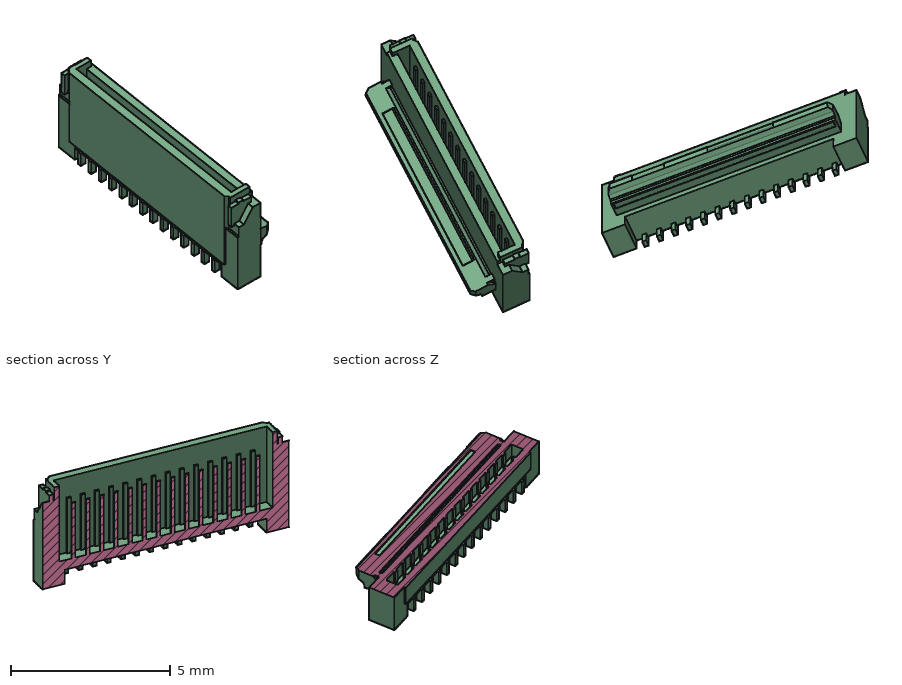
import cadquery as cq

WIDTH = 8.7
HEIGHT = 3.6
OVERLAP = 0.04

CORE_WIDTH = 7.88
CORE_FRONT = -0.9
LOWER_FRONT = -0.94
LOWER_TOP = 2.2
LOWER_BEVEL = LOWER_TOP + (CORE_FRONT - LOWER_FRONT)
REAR_WALL_TOP = 3.35
END_WALL_REAR = -0.105
FOOT_NOTCH_WIDTH = 7.12
FOOT_NOTCH_TOP = 0.505

PLATE_FRONT = -1.0
PLATE_WIDTH = 7.52
PLATE_ROOT_WIDTH = 7.74
PLATE_BOTTOM = 0.68

SLOT_WIDTH = PLATE_WIDTH
SLOT_REAR = -0.29
SLOT_FRONT = -0.705
SLOT_FLOOR = 0.87

EAR_TOP = 3.14
EAR_STEP = 2.62
EAR_SLOPE_REAR = -0.32
EAR_SLOPE_FRONT = -0.69

TAB_FRONT = -1.02
TAB_REAR = -0.18
TAB_BOTTOM = 2.54
TAB_TOP = 3.36
TAB_THICKNESS = 0.16
TAB_CENTER_X = 4.045
TAB_BUMP_REAR = -0.52
TAB_BUMP_FRONT = -0.71
TAB_BUMP_TOP = 3.41

CONTACT_COUNT = 14
CONTACT_SPAN = 6.5
CONTACT_PITCH = CONTACT_SPAN / (CONTACT_COUNT - 1)
CONTACT_WIDTH = 0.14
PIN_FRONT = TAB_FRONT
PIN_REAR = -0.81
PIN_BOTTOM = 0.05
PIN_TOP = 0.56
BLADE_TOP = 2.87
REAR_BLADE = 0.05
FRONT_BLADE = 0.07

LEVER_WIDTH = 7.67
LEVER_TIP = 0.88
LEVER_ROOT_TOP = 1.5
LEVER_EDGE = 0.835
LEVER_EDGE_TOP = 1.36
LEVER_SLOPE = (LEVER_ROOT_TOP - LEVER_EDGE_TOP) / LEVER_EDGE
LEVER_CORNER_START = 0.7
LEVER_UNDERSIDE = [
    (LEVER_TIP, 1.31),
    (0.835, 1.05),
    (0.67, 1.0),
    (0.53, 0.93),
    (0.5, 0.87),
    (0.48, 0.74),
    (0, 0.78),
    (-OVERLAP, 0.78),
]
LEVER_FOOT = [(0.48, 0.78), (0.47, 0.69), (0.28, 0.705), (0.28, 0.78)]
LEVER_CORNER = 0.14
END_NOTCH_WIDTH = 0.08
END_NOTCH_REAR = 0.27
END_NOTCH_VALLEY = (0.06, 1.29)
END_NOTCH_FRONT_Z = 1.31
GROOVE_WIDTH = 7.12
GROOVE_REAR = 0.23
GROOVE_BOTTOM_REAR = 0.07
GROOVE_DEPTH = 0.16
POCKET_WIDTH = 5.74
POCKET_REAR = 0.68
POCKET_FRONT = 0.29
POCKET_FLOOR_FRONT = 0.34
POCKET_DEPTH = 0.05
TIP_CUTS = [(-1.86, 0.38, 0.85), (1.86, 2.96, 0.835)]


def block(x_range, y_range, z_range):
    """Box between the given pairs of limits."""
    limits = (x_range, y_range, z_range)
    sizes = [abs(b - a) for a, b in limits]
    center = tuple((a + b) / 2 for a, b in limits)
    return cq.Workplane("XY").box(*sizes).translate(center)


def centered(width):
    """X limits of a stretch centred on the part."""
    return (-width / 2, width / 2)


def side_prism(points, x_range):
    """Outline of (Y, Z) points extruded along X."""
    x_start, x_end = x_range
    return cq.Workplane("YZ").workplane(offset=x_start).polyline(points).close().extrude(x_end - x_start)


def both_sides(left):
    """A left-hand piece together with its mirror image."""
    return left.union(left.mirror("YZ"))


def lever_top(y):
    """Height of the sloping top face of the lever."""
    return LEVER_ROOT_TOP - LEVER_SLOPE * y


def make_lower_housing():
    outline = [
        (0, 0),
        (0, LOWER_BEVEL),
        (CORE_FRONT, LOWER_BEVEL),
        (LOWER_FRONT, LOWER_TOP),
        (LOWER_FRONT, 0),
    ]
    return side_prism(outline, centered(WIDTH))


def make_core():
    core = block(centered(CORE_WIDTH), (CORE_FRONT, 0), (0, HEIGHT))
    plate = block(centered(PLATE_WIDTH), (PLATE_FRONT, CORE_FRONT), (PLATE_BOTTOM, HEIGHT))
    bevel_outline = [
        (-PLATE_ROOT_WIDTH / 2, CORE_FRONT),
        (-PLATE_WIDTH / 2, PLATE_FRONT),
        (PLATE_WIDTH / 2, PLATE_FRONT),
        (PLATE_ROOT_WIDTH / 2, CORE_FRONT),
    ]
    bevelled = (
        cq.Workplane("XY").workplane(offset=LOWER_BEVEL)
        .polyline(bevel_outline).close().extrude(HEIGHT - LOWER_BEVEL)
    )
    return core.union(plate).union(bevelled)


def make_ear():
    outline = [
        (0, 0),
        (0, EAR_TOP),
        (EAR_SLOPE_REAR, EAR_TOP),
        (EAR_SLOPE_FRONT, EAR_STEP),
        (CORE_FRONT, EAR_STEP),
        (CORE_FRONT, 0),
    ]
    return side_prism(outline, (-WIDTH / 2, -CORE_WIDTH / 2))


def make_tab():
    x_range = (-TAB_CENTER_X - TAB_THICKNESS / 2, -TAB_CENTER_X + TAB_THICKNESS / 2)
    tab = block(x_range, (TAB_FRONT, TAB_REAR), (TAB_BOTTOM, TAB_TOP))
    bump = block(x_range, (TAB_BUMP_FRONT, TAB_BUMP_REAR), (TAB_TOP - OVERLAP, TAB_BUMP_TOP))
    return tab.union(bump)


def cut_housing(housing):
    housing = housing.cut(block(centered(FOOT_NOTCH_WIDTH), (PLATE_FRONT, 0), (0, FOOT_NOTCH_TOP)))
    housing = housing.cut(block(centered(SLOT_WIDTH), (SLOT_REAR, 0), (REAR_WALL_TOP, HEIGHT)))
    housing = housing.cut(block(centered(CORE_WIDTH), (END_WALL_REAR, 0), (REAR_WALL_TOP, HEIGHT)))
    return housing.cut(block(centered(SLOT_WIDTH), (SLOT_FRONT, SLOT_REAR), (SLOT_FLOOR, HEIGHT)))


def make_contact(x):
    x_range = (x - CONTACT_WIDTH / 2, x + CONTACT_WIDTH / 2)
    blade_z = (SLOT_FLOOR - OVERLAP, BLADE_TOP)
    pin = block(x_range, (PIN_FRONT, PIN_REAR), (PIN_BOTTOM, PIN_TOP))
    rear_blade = block(x_range, (SLOT_REAR - REAR_BLADE, SLOT_REAR + OVERLAP), blade_z)
    front_blade = block(x_range, (SLOT_FRONT - OVERLAP, SLOT_FRONT + FRONT_BLADE), blade_z)
    return pin.union(rear_blade).union(front_blade)


def make_lever():
    outline = [
        (-OVERLAP, lever_top(-OVERLAP)),
        (LEVER_EDGE, LEVER_EDGE_TOP),
        *LEVER_UNDERSIDE,
    ]
    lever = side_prism(outline, centered(LEVER_WIDTH))

    lever = lever.union(side_prism(LEVER_FOOT, centered(LEVER_WIDTH - 2 * END_NOTCH_WIDTH)))

    half = LEVER_WIDTH / 2
    corner_outline = [(-half, LEVER_CORNER_START), (-half + LEVER_CORNER, LEVER_TIP), (-half, LEVER_TIP)]
    corner = cq.Workplane("XY").polyline(corner_outline).close().extrude(HEIGHT)
    lever = lever.cut(both_sides(corner))

    notch_outline = [
        (END_NOTCH_REAR, lever_top(END_NOTCH_REAR)),
        END_NOTCH_VALLEY,
        (0, END_NOTCH_FRONT_Z),
        (0, LEVER_ROOT_TOP),
    ]
    notch = side_prism(notch_outline, (-half, -half + END_NOTCH_WIDTH))
    lever = lever.cut(both_sides(notch))

    groove_floor = LEVER_ROOT_TOP - GROOVE_DEPTH
    groove_outline = [
        (0, LEVER_ROOT_TOP),
        (GROOVE_REAR, lever_top(GROOVE_REAR)),
        (GROOVE_BOTTOM_REAR, groove_floor),
        (0, groove_floor),
    ]
    lever = lever.cut(side_prism(groove_outline, centered(GROOVE_WIDTH)))

    pocket_outline = [
        (POCKET_FRONT, lever_top(POCKET_FRONT)),
        (POCKET_FLOOR_FRONT, lever_top(POCKET_FLOOR_FRONT) - POCKET_DEPTH),
        (POCKET_REAR, lever_top(POCKET_REAR) - POCKET_DEPTH),
        (POCKET_REAR, lever_top(POCKET_REAR)),
    ]
    lever = lever.cut(side_prism(pocket_outline, centered(POCKET_WIDTH)))

    for left, right, reach in TIP_CUTS:
        lever = lever.cut(block((left, right), (reach, LEVER_TIP), (0, HEIGHT)))
    return lever


housing = make_core().union(make_lower_housing()).union(both_sides(make_ear()))
result = cut_housing(housing).union(both_sides(make_tab()))
for index in range(CONTACT_COUNT):
    result = result.union(make_contact(index * CONTACT_PITCH - CONTACT_SPAN / 2))
result = result.union(make_lever())